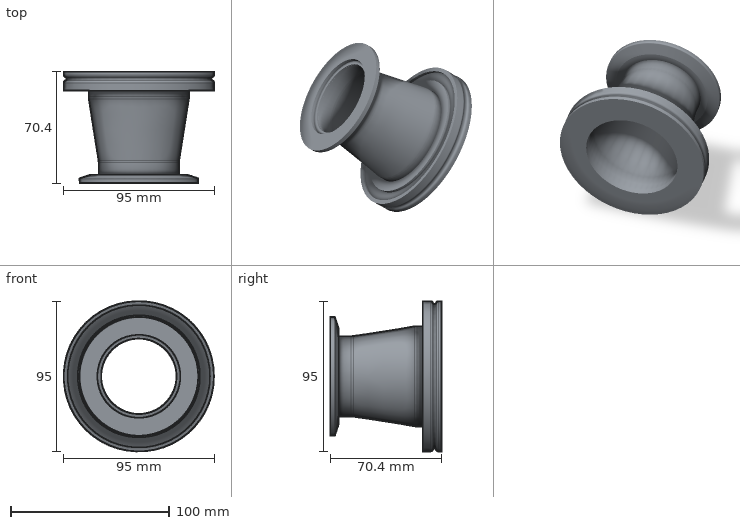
import cadquery as cq
import math

TOTAL_LENGTH = 70.4
FRONT_Y = -TOTAL_LENGTH / 2
BACK_Y = TOTAL_LENGTH / 2

WALL = 1.65
LARGE_TUBE_RADIUS = 63.5 / 2
SMALL_TUBE_RADIUS = 50.8 / 2
CONE_LENGTH = 40.2
CONE_BACK_Y = BACK_Y - 16.4
CONE_FRONT_Y = CONE_BACK_Y - CONE_LENGTH
CONE_ANGLE = math.atan((LARGE_TUBE_RADIUS - SMALL_TUBE_RADIUS) / CONE_LENGTH)
CONVEX_BEND = 10.0
CONCAVE_BEND = CONVEX_BEND - WALL

SMALL_RIM_RADIUS = 75.0 / 2
SMALL_RIM_WIDTH = 3.0
SMALL_RIM_ROUND = 0.5
SMALL_FLANGE_WIDTH = 5.4
CLAMP_TOP_RADIUS = 60.2 / 2
RECESS_RADIUS = 52.4 / 2
RECESS_DEPTH = 2.6
SMALL_BORE_RADIUS = 47.6 / 2
SMALL_SOCKET_RADIUS = 51.1 / 2
SMALL_LIP_WIDTH = 1.0
SMALL_SEAT_Y = FRONT_Y + RECESS_DEPTH + SMALL_LIP_WIDTH

LARGE_RIM_RADIUS = 95.0 / 2
LARGE_FLANGE_WIDTH = 12.0
LARGE_FACE_Y = BACK_Y - LARGE_FLANGE_WIDTH
LARGE_BORE_RADIUS = LARGE_TUBE_RADIUS - WALL
LARGE_SOCKET_RADIUS = 63.8 / 2
LARGE_SOCKET_DEPTH = LARGE_FLANGE_WIDTH / 2
LARGE_SEAT_Y = LARGE_FACE_Y + LARGE_SOCKET_DEPTH
FACE_GROOVE_OUTER_RADIUS = 89.9 / 2
FACE_GROOVE_INNER_RADIUS = 77.2 / 2
FACE_GROOVE_DEPTH = 2.0

CLAMP_GROOVE_Y = BACK_Y - 4.55
CLAMP_GROOVE_HALF_WIDTH = 2.5
CLAMP_GROOVE_BOTTOM_HALF_WIDTH = 1.1
CLAMP_GROOVE_DEPTH = 1.8


def revolve_about_y(outline):
    return outline.close().revolve(360, (0, 0, 0), (0, 1, 0))


def disc(radius, start_y, end_y):
    outline = (
        cq.Workplane("XY")
        .moveTo(0, start_y)
        .lineTo(radius, start_y)
        .lineTo(radius, end_y)
        .lineTo(0, end_y)
    )
    return revolve_about_y(outline)


def circle_at(y):
    """Select the circular edge whose centre lies on the axis at the given Y."""
    reach = 0.05
    return cq.selectors.BoxSelector((-reach, y - reach, -reach), (reach, y + reach, reach))


def tube_solid(inset, large_bend, small_bend):
    """Solid inside the tube's outer surface after moving that surface inwards by inset."""
    corner_shift = inset * math.tan(CONE_ANGLE / 2)
    large_radius = LARGE_TUBE_RADIUS - inset
    small_radius = SMALL_TUBE_RADIUS - inset
    cone_back_y = CONE_BACK_Y + corner_shift
    cone_front_y = CONE_FRONT_Y + corner_shift
    outline = (
        cq.Workplane("XY")
        .moveTo(0, SMALL_SEAT_Y)
        .lineTo(small_radius, SMALL_SEAT_Y)
        .lineTo(small_radius, cone_front_y)
        .lineTo(large_radius, cone_back_y)
        .lineTo(large_radius, LARGE_SEAT_Y)
        .lineTo(0, LARGE_SEAT_Y)
    )
    solid = revolve_about_y(outline)
    solid = solid.edges(circle_at(cone_back_y)).fillet(large_bend)
    return solid.edges(circle_at(cone_front_y)).fillet(small_bend)


def make_reducer_tube():
    outside = tube_solid(0, CONVEX_BEND, CONCAVE_BEND)
    inside = tube_solid(WALL, CONCAVE_BEND, CONVEX_BEND)
    return outside.cut(inside)


def make_small_flange():
    back_y = FRONT_Y + SMALL_FLANGE_WIDTH
    rim_y = FRONT_Y + SMALL_RIM_WIDTH
    outline = (
        cq.Workplane("XY")
        .moveTo(SMALL_BORE_RADIUS, FRONT_Y)
        .lineTo(SMALL_RIM_RADIUS, FRONT_Y)
        .lineTo(SMALL_RIM_RADIUS, rim_y)
        .lineTo(CLAMP_TOP_RADIUS, back_y)
        .lineTo(SMALL_BORE_RADIUS, back_y)
    )
    body = revolve_about_y(outline).edges(circle_at(rim_y)).fillet(SMALL_RIM_ROUND)
    recess = disc(RECESS_RADIUS, FRONT_Y, FRONT_Y + RECESS_DEPTH)
    tube_socket = disc(SMALL_SOCKET_RADIUS, SMALL_SEAT_Y, back_y)
    return body.cut(recess).cut(tube_socket)


def make_large_flange():
    bottom_share = CLAMP_GROOVE_BOTTOM_HALF_WIDTH / CLAMP_GROOVE_HALF_WIDTH
    lip_end_radius = LARGE_RIM_RADIUS - CLAMP_GROOVE_DEPTH * (1 - bottom_share)
    outline = (
        cq.Workplane("XY")
        .moveTo(LARGE_BORE_RADIUS, LARGE_FACE_Y)
        .lineTo(LARGE_RIM_RADIUS, LARGE_FACE_Y)
        .lineTo(LARGE_RIM_RADIUS, CLAMP_GROOVE_Y - CLAMP_GROOVE_HALF_WIDTH)
        .tangentArcPoint((lip_end_radius, CLAMP_GROOVE_Y - CLAMP_GROOVE_BOTTOM_HALF_WIDTH), relative=False)
        .tangentArcPoint((lip_end_radius, CLAMP_GROOVE_Y + CLAMP_GROOVE_BOTTOM_HALF_WIDTH), relative=False)
        .tangentArcPoint((LARGE_RIM_RADIUS, CLAMP_GROOVE_Y + CLAMP_GROOVE_HALF_WIDTH), relative=False)
        .lineTo(LARGE_RIM_RADIUS, BACK_Y)
        .lineTo(LARGE_BORE_RADIUS, BACK_Y)
    )
    body = revolve_about_y(outline)
    groove_floor_y = LARGE_FACE_Y + FACE_GROOVE_DEPTH
    groove_outside = disc(FACE_GROOVE_OUTER_RADIUS, LARGE_FACE_Y, groove_floor_y)
    groove_inside = disc(FACE_GROOVE_INNER_RADIUS, LARGE_FACE_Y, groove_floor_y)
    face_groove = groove_outside.cut(groove_inside)
    tube_socket = disc(LARGE_SOCKET_RADIUS, LARGE_FACE_Y, LARGE_SEAT_Y)
    return body.cut(face_groove).cut(tube_socket)


reducer_tube = make_reducer_tube()
small_flange = make_small_flange()
large_flange = make_large_flange()

result = cq.Compound.makeCompound([reducer_tube.val(), small_flange.val(), large_flange.val()])